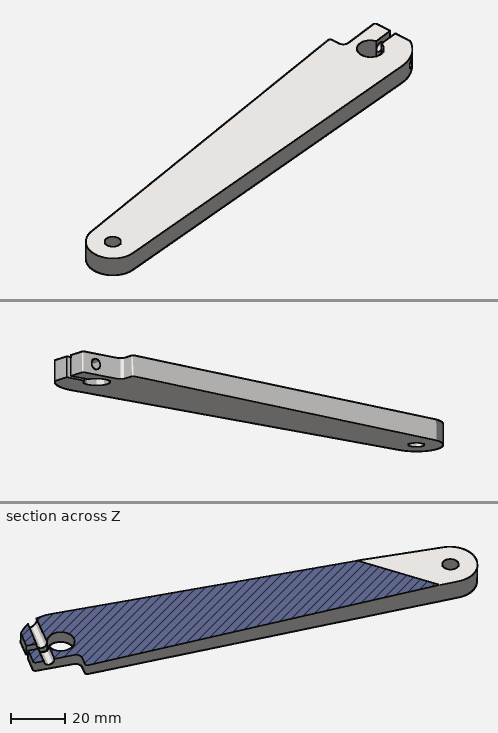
import cadquery as cq
import math

thickness = 8.0
hole_spacing = 150.0
hub_radius = 15.5
tip_radius = 10.0
bore_diameter = 10.0
pivot_diameter = 6.0

clamp_end_y = 13.0
jaw_face_x = -8.5
step_y = -5.0
step_fillet = 2.5
corner_fillet = 1.0
slot_width = 2.4
screw_diameter = 4.0
screw_y = 7.0

pitch_angle = 1.5
roll_angle = 1.8


def side_tangent_points():
    """Points where the right-hand straight side touches the hub and tip circles."""
    taper_sin = (hub_radius - tip_radius) / hole_spacing
    taper_cos = math.sqrt(1 - taper_sin**2)
    hub_point = (hub_radius * taper_cos, -hub_radius * taper_sin)
    tip_point = (tip_radius * taper_cos, -hole_spacing - tip_radius * taper_sin)
    return hub_point, tip_point


def lever_blank():
    """Tapered plate with the clamp step on its left and a round hub on its right."""
    hub_point, tip_point = side_tangent_points()
    side_slope = (hub_point[0] - tip_point[0]) / (hub_point[1] - tip_point[1])
    step_x = -(hub_point[0] + side_slope * (step_y - hub_point[1]))
    hub_start_angle = math.asin(clamp_end_y / hub_radius)
    hub_start_x = hub_radius * math.cos(hub_start_angle)
    hub_end_angle = math.asin(hub_point[1] / hub_radius)
    hub_mid_angle = (hub_start_angle + hub_end_angle) / 2
    hub_mid = (hub_radius * math.cos(hub_mid_angle), hub_radius * math.sin(hub_mid_angle))

    blank = (
        cq.Workplane("XY")
        .moveTo(jaw_face_x, clamp_end_y)
        .lineTo(hub_start_x, clamp_end_y)
        .threePointArc(hub_mid, hub_point)
        .lineTo(*tip_point)
        .threePointArc((0, -hole_spacing - tip_radius), (-tip_point[0], tip_point[1]))
        .lineTo(step_x, step_y)
        .lineTo(jaw_face_x, step_y)
        .close()
        .extrude(thickness)
    )
    blank = fillet_upright_edge(blank, jaw_face_x, step_y, step_fillet)
    for x, y in [(jaw_face_x, clamp_end_y), (step_x, step_y)]:
        blank = fillet_upright_edge(blank, x, y, corner_fillet)
    return blank


def fillet_upright_edge(body, x, y, radius):
    """Round the edge through the thickness that stands at (x, y)."""
    mid_edge = (x, y, thickness / 2)
    return body.edges(cq.selectors.NearestToPointSelector(mid_edge)).fillet(radius)


def round_hole(y, diameter):
    """Cutter for a hole through the thickness on the centre line."""
    return cq.Workplane("XY").center(0, y).circle(diameter / 2).extrude(thickness)


def clamp_slot():
    """Cutter for the slit from the bore out through the clamp end."""
    return (
        cq.Workplane("XY")
        .center(0, clamp_end_y / 2)
        .rect(slot_width, clamp_end_y)
        .extrude(thickness)
    )


def screw_hole():
    """Cutter for the clamp screw, across both jaws at mid thickness."""
    return (
        cq.Workplane("YZ")
        .center(screw_y, thickness / 2)
        .circle(screw_diameter / 2)
        .extrude(hub_radius, both=True)
    )


lever = (
    lever_blank()
    .cut(round_hole(0, bore_diameter))
    .cut(round_hole(-hole_spacing, pivot_diameter))
    .cut(clamp_slot())
    .cut(screw_hole())
)
origin = (0, 0, 0)
result = lever.rotate(origin, (0, 1, 0), roll_angle).rotate(origin, (1, 0, 0), pitch_angle)